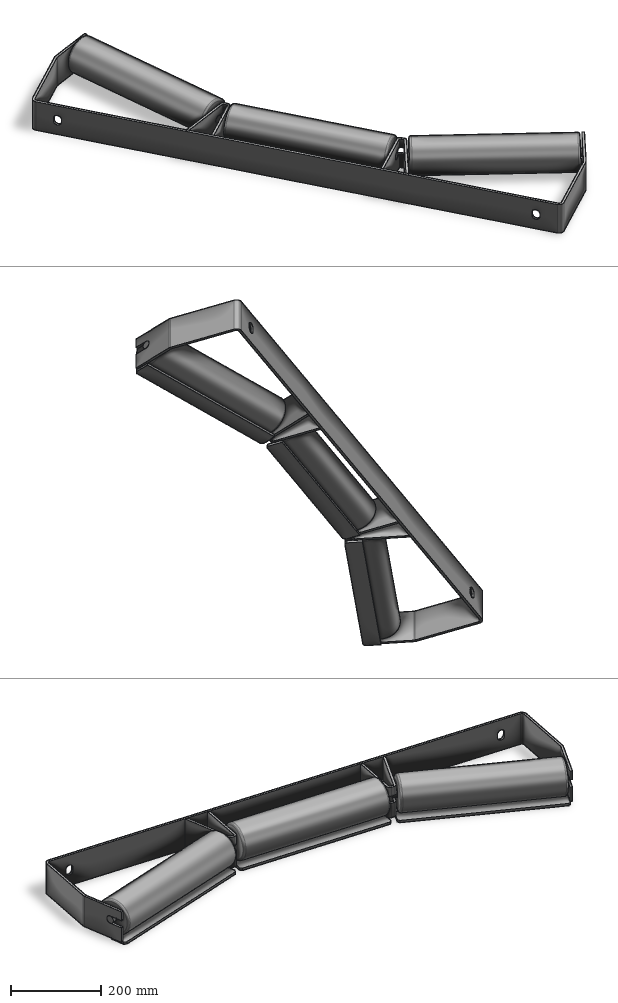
import cadquery as cq
import math


sheet = 6.0
strip_height = 79.0
bend_radius = 11.8
bracket_bend_radius = 7.0
tilt = 20.0

roller_radius = 45.0
roller_length = 380.0
roller_end_fillet = 5.0
shaft_diameter = 19.0
support_gap = 389.0
axis_z = 47.0
center_axis_y = 100.0
wing_x = 405.0
wing_y = 174.0
shaft_length = support_gap + 2 * sheet

frame_length = 1240.0
arm_reach = 32.0
mount_hole_x = 558.0
mount_hole_width = 19.0
mount_hole_height = 26.0

bracket_y = 126.0

plate_length = 392.0
plate_width = 40.0
plate_thickness = 6.0
plate_chamfer = 5.0

sin_tilt = math.sin(math.radians(tilt))
cos_tilt = math.cos(math.radians(tilt))

stations = [(-wing_x, wing_y, -tilt), (0.0, center_axis_y, 0.0), (wing_x, wing_y, tilt)]


def wing_point(along, across):
    """Point given along and across the axis of the -X wing roller."""
    x = -wing_x + along * cos_tilt + across * sin_tilt
    y = wing_y - along * sin_tilt + across * cos_tilt
    return (x, y)


def wing_x_at(along, y):
    """X where the plane square to the -X wing roller's axis reaches a given Y."""
    across = (y - wing_y + along * sin_tilt) / cos_tilt
    return wing_point(along, across)[0]


def place(body, station):
    """Move a body from its roller's own axes to its station."""
    x, y, angle = station
    return body.rotate((0, 0, 0), (0, 0, 1), angle).translate((x, y, 0))


def bend_offset(path, index):
    """Offset of one path point to the left-hand face of the sheet."""
    normals = []
    for start, end in zip(path[:-1], path[1:]):
        length = math.dist(start, end)
        normals.append(((start[1] - end[1]) / length, (end[0] - start[0]) / length))
    before = normals[max(index - 1, 0)]
    after = normals[min(index, len(normals) - 1)]
    scale = sheet / (1 + before[0] * after[0] + before[1] * after[1])
    return ((before[0] + after[0]) * scale, (before[1] + after[1]) * scale)


def bent_strip(path, outer_radius):
    """Upright strip with its right-hand face on the path and rounded bends."""
    inner = []
    for index, point in enumerate(path):
        dx, dy = bend_offset(path, index)
        inner.append((point[0] + dx, point[1] + dy))
    strip = cq.Workplane("XY").polyline(path + inner[::-1]).close().extrude(strip_height)
    for points, radius in ((path, outer_radius), (inner, outer_radius - sheet)):
        for x, y in points[1:-1]:
            bend_edge = cq.selectors.NearestToPointSelector((x, y, strip_height / 2))
            strip = strip.edges("|Z").edges(bend_edge).fillet(radius)
    return strip


def axial_cylinder(radius, length):
    """Cylinder along X, centred on the origin."""
    return cq.Workplane("YZ", origin=(-length / 2, 0, 0)).circle(radius).extrude(length)


def shaft_slots(station):
    """Cutter for the shaft slots at both ends of one roller, open towards +Y."""
    cutter_length = shaft_length + 2 * sheet
    bore = axial_cylinder(shaft_diameter / 2, cutter_length)
    channel = cq.Workplane("XY").box(
        cutter_length, 2 * arm_reach, shaft_diameter, centered=(True, False, True)
    )
    return place(bore.union(channel).translate((0, 0, axis_z)), station)


def make_frame():
    """Long bent strip whose tilted arms hold the outer ends of the wing rollers."""
    half_length = frame_length / 2
    arm_outer = -shaft_length / 2
    tip = wing_point(arm_outer, arm_reach)
    arm_bend = (-half_length, tip[1] - (tip[0] + half_length) * cos_tilt / sin_tilt)
    left = [tip, arm_bend, (-half_length, 0)]
    right = [(-x, y) for x, y in reversed(left)]
    frame = bent_strip(left + right, bend_radius)
    mount_holes = (
        cq.Workplane("XZ", origin=(0, 0, strip_height / 2))
        .pushPoints([(-mount_hole_x, 0), (mount_hole_x, 0)])
        .slot2D(mount_hole_height, mount_hole_width, 90)
        .extrude(-2 * sheet)
    )
    frame = frame.cut(mount_holes)
    return frame.cut(shaft_slots(stations[0])).cut(shaft_slots(stations[2]))


def make_bracket():
    """Bracket between the -X wing roller and the middle roller."""
    wing_face = support_gap / 2
    center_face = -support_gap / 2
    path = [
        (center_face, 0),
        (center_face, bracket_y),
        (wing_x_at(wing_face, bracket_y), bracket_y),
        (wing_x_at(wing_face, 0), 0),
    ]
    bracket = bent_strip(path, bracket_bend_radius)
    trim_depth = 2 * sheet
    foot_trim = (
        cq.Workplane("XY", origin=(0, sheet - trim_depth / 2, strip_height / 2))
        .box(frame_length, trim_depth, strip_height)
    )
    bracket = bracket.cut(foot_trim)
    return bracket.cut(shaft_slots(stations[0])).cut(shaft_slots(stations[1]))


def make_roller():
    """Roller with its shaft in one piece, its axis along X."""
    barrel = axial_cylinder(roller_radius, roller_length)
    barrel = barrel.faces("<X or >X").edges().fillet(roller_end_fillet)
    shaft = axial_cylinder(shaft_diameter / 2, shaft_length)
    return barrel.union(shaft).translate((0, 0, axis_z))


def make_bottom_plate():
    """Plate under the +Y half of a roller, against the lower edges of its supports."""
    plate = cq.Workplane("XY").box(plate_length, plate_width, plate_thickness, centered=(True, False, False))
    plate = plate.edges("|Z and >Y").chamfer(plate_chamfer)
    return plate.translate((0, 0, -plate_thickness))


frame = make_frame()
left_bracket = make_bracket()
brackets = [left_bracket, left_bracket.mirror("YZ")]
rollers = [place(make_roller(), station) for station in stations]
bottom_plates = [place(make_bottom_plate(), station) for station in stations]

bodies = [frame, *brackets, *rollers, *bottom_plates]
result = cq.Compound.makeCompound([body.val() for body in bodies])